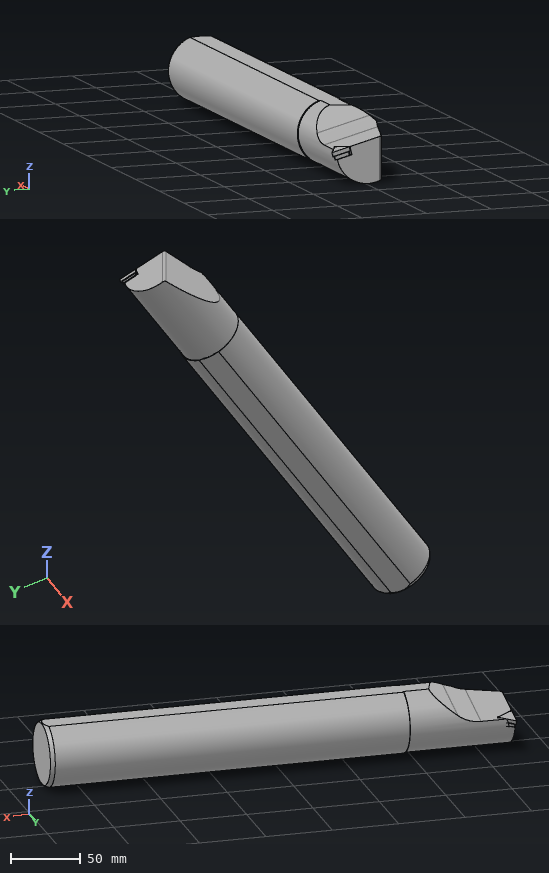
import cadquery as cq
import math

LENGTH = 350.0
HEAD_LENGTH = 79.5
SHANK_RADIUS = 25.0
HEAD_RADIUS = 24.5
HEAD_OFFSET_Y = HEAD_RADIUS - SHANK_RADIUS
FLAT_HEIGHT = 23.5
END_CHAMFER_LENGTH = 3.0
END_CHAMFER_DEPTH = 1.8

RELIEF_ANGLE = 15.0
RELIEF_CORNER_Y = -10.5
RELIEF_CORNER_RADIUS = 2.0

RAKE_TILT = 14.5
RAKE_HEIGHT = 7.5
RAMP_ANGLE = 34.5
RAMP_FOOT_X = 35.5
RAMP_FILLET_RADIUS = 30.0

INSERT_SIDE = 14.5
INSERT_NOSE_RADIUS = 0.5
INSERT_TIP_Y = 27.5
INSERT_PLATE = 3.32
INSERT_THICKNESS = 6.3
INSERT_STEP = 0.7
POCKET_RELIEF_RADIUS = 0.88

CUT = 3 * SHANK_RADIUS
FRONT_OVERRUN = 3.5


def tilted_plane():
    """Workplane base lying in the rake floor, with its local x along the bar."""
    tilt = math.radians(RAKE_TILT)
    return cq.Plane(
        origin=(0, 0, RAKE_HEIGHT),
        xDir=(1, 0, 0),
        normal=(0, math.sin(tilt), math.cos(tilt)),
    )


def make_bar():
    shank_length = LENGTH - HEAD_LENGTH
    shank = cq.Workplane("YZ", origin=(HEAD_LENGTH, 0, 0)).circle(SHANK_RADIUS).extrude(shank_length)
    shank = shank.faces(">X").chamfer(END_CHAMFER_LENGTH, END_CHAMFER_DEPTH)
    shank_limit = cq.Workplane("XY").box(2 * LENGTH, CUT, 2 * FLAT_HEIGHT)
    shank = shank.intersect(shank_limit)

    head = cq.Workplane("YZ", origin=(0, HEAD_OFFSET_Y, 0)).circle(HEAD_RADIUS).extrude(HEAD_LENGTH)
    above_flat = (
        cq.Workplane("XY", origin=(0, 0, FLAT_HEIGHT))
        .box(2 * LENGTH, CUT, CUT, centered=(True, True, False))
    )
    return shank.union(head.cut(above_flat))


def side_relief():
    """Material outside the slanted side and its rounded front corner."""
    run = HEAD_LENGTH
    drop = run * math.tan(math.radians(RELIEF_ANGLE))
    kept = (
        cq.Workplane("XY", origin=(0, 0, -CUT / 2))
        .moveTo(0, RELIEF_CORNER_Y)
        .lineTo(run, RELIEF_CORNER_Y - drop)
        .lineTo(run, CUT)
        .lineTo(0, CUT)
        .close()
        .extrude(CUT)
    )
    front_corner = cq.selectors.NearestToPointSelector((0, RELIEF_CORNER_Y, 0))
    kept = kept.edges("|Z").edges(front_corner).fillet(RELIEF_CORNER_RADIUS)
    envelope = cq.Workplane("XY").box(run, 2 * CUT, CUT, centered=(False, True, True))
    return envelope.cut(kept)


def rake_cut():
    """Space above the rake floor, its fillet and its ramp."""
    angle = math.radians(RAMP_ANGLE)
    tangent = RAMP_FILLET_RADIUS * math.tan(angle / 2)
    start_x = RAMP_FOOT_X - tangent
    middle_x = start_x + RAMP_FILLET_RADIUS * math.sin(angle / 2)
    middle_h = RAMP_FILLET_RADIUS * (1 - math.cos(angle / 2))
    end_x = RAMP_FOOT_X + tangent * math.cos(angle)
    end_h = tangent * math.sin(angle)
    top_x = RAMP_FOOT_X + CUT / math.tan(angle)

    base = tilted_plane()
    profile_plane = cq.Plane(
        origin=base.origin.toTuple(),
        xDir=base.xDir.toTuple(),
        normal=(-base.yDir).toTuple(),
    )
    return (
        cq.Workplane(profile_plane)
        .moveTo(-FRONT_OVERRUN, 0)
        .lineTo(start_x, 0)
        .threePointArc((middle_x, middle_h), (end_x, end_h))
        .lineTo(top_x, CUT)
        .lineTo(-FRONT_OVERRUN, CUT)
        .close()
        .extrude(CUT, both=True)
    )


def triangle_corners(inset=0.0):
    """Tip, lower and inner corners in the rake floor, with all edges moved in by inset."""
    nose_loss = INSERT_NOSE_RADIUS * (math.sqrt(3) - 1)
    tip_y = INSERT_TIP_Y / math.cos(math.radians(RAKE_TILT)) + nose_loss
    shrink = inset * math.sqrt(3)
    tip = (inset, tip_y - shrink)
    lower = (inset, tip_y - INSERT_SIDE + shrink)
    inner = (INSERT_SIDE * math.sqrt(3) / 2 - 2 * inset, tip_y - INSERT_SIDE / 2)
    return [tip, lower, inner]


def triangle_plate(top_depth, bottom_depth, inset=0.0):
    plate = (
        cq.Workplane(tilted_plane())
        .workplane(offset=-bottom_depth)
        .polyline(triangle_corners(inset))
        .close()
        .extrude(bottom_depth - top_depth)
    )
    tilt = math.radians(RAKE_TILT)
    along_depth = cq.selectors.ParallelDirSelector(cq.Vector(0, math.sin(tilt), math.cos(tilt)))
    return plate.edges(along_depth).fillet(INSERT_NOSE_RADIUS)


def make_insert():
    """Cutting plate on a slightly smaller foot."""
    plate = triangle_plate(0, INSERT_PLATE)
    foot = triangle_plate(INSERT_PLATE, INSERT_THICKNESS, INSERT_STEP)
    return plate.union(foot)


def insert_pocket():
    """Seat of the insert, with round reliefs at its two enclosed corners."""
    enclosed_corners = triangle_corners(INSERT_NOSE_RADIUS)[1:]
    reliefs = (
        cq.Workplane(tilted_plane())
        .pushPoints(enclosed_corners)
        .circle(POCKET_RELIEF_RADIUS)
        .extrude(-INSERT_THICKNESS)
    )
    return triangle_plate(0, INSERT_THICKNESS).union(reliefs)


holder = make_bar().cut(side_relief()).cut(rake_cut()).cut(insert_pocket())
insert = make_insert()

result = cq.Compound.makeCompound([holder.solids().val(), insert.solids().val()])